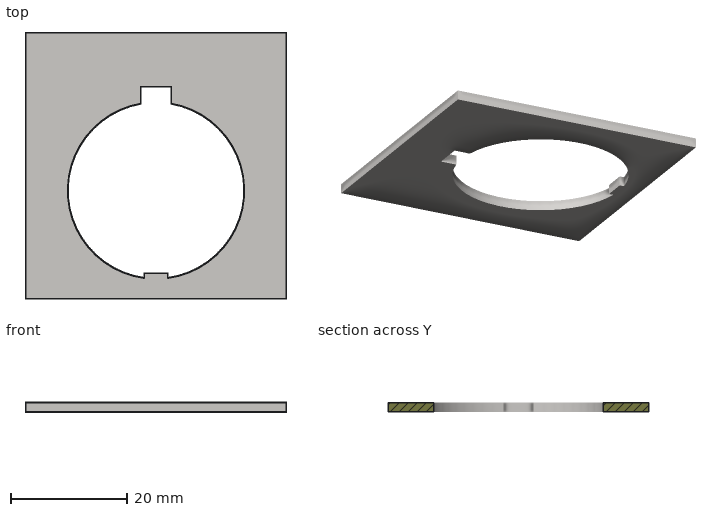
import cadquery as cq

plate_width = 44.8
plate_depth = 45.75
plate_thickness = 1.7

hole_diameter = 30.3
hole_center_y = -4.25

notch_width = 5.2
notch_top_margin = 9.3

tab_width = 4.05
tab_bottom_margin = 4.45


def centered_bar(width, y_start, y_end):
    """Bar through the plate thickness, centred on X = 0."""
    return (
        cq.Workplane("XY")
        .center(0, (y_start + y_end) / 2)
        .rect(width, y_end - y_start)
        .extrude(plate_thickness)
    )


plate = cq.Workplane("XY").rect(plate_width, plate_depth).extrude(plate_thickness)

hole = (
    cq.Workplane("XY")
    .center(0, hole_center_y)
    .circle(hole_diameter / 2)
    .extrude(plate_thickness)
)

notch_end_y = plate_depth / 2 - notch_top_margin
notch = centered_bar(notch_width, hole_center_y, notch_end_y)

tab_end_y = -plate_depth / 2 + tab_bottom_margin
tab = centered_bar(tab_width, -plate_depth / 2, tab_end_y)

opening = hole.union(notch).cut(tab)
result = plate.cut(opening)